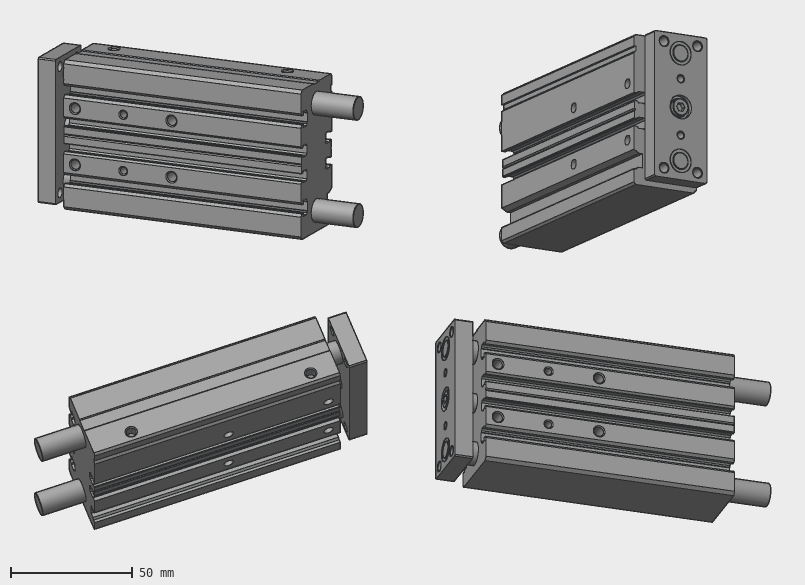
import cadquery as cq
import math


TOTAL_LENGTH = 140.0
PLATE_THICKNESS = 7.8
HOUSING_START = 12.7
HOUSING_END = 120.8
HOUSING_LENGTH = HOUSING_END - HOUSING_START

HOUSING_WIDTH = 30.0
HOUSING_HEIGHT = 64.0
FRONT_EDGE_CHAMFER = 1.4
BACK_EDGE_CHAMFER = 1.0

T_SLOT_Z = 19.0
T_SLOT_HALF_OPENING = 2.0
T_SLOT_LIP = 2.5
T_SLOT_HALF_CAVITY = 3.4
T_SLOT_LEDGE = 6.0
T_SLOT_DEPTH = 6.6
T_SLOT_EDGE_CHAMFER = 1.1
T_SLOT_CORNER_CHAMFER = 0.7

RIB_SLOT_Z = 5.5
RIB_SLOT_HALF_OPENING = 1.7
RIB_SLOT_LIP = 1.7
RIB_SLOT_UNDERCUT = 0.7
RIB_SLOT_DEPTH = 5.9
RIB_SLOT_EDGE_CHAMFER = 0.8

RIB_SETBACK = 0.4
RIB_GROOVE_HALF_HEIGHT = 0.5
RIB_GROOVE_DEPTH = 0.4
RIB_EDGE_CHAMFER = 0.3

RAIL_SLOT_TOP_Z = -17.1
RAIL_SLOT_BOTTOM_Z = -25.3
RAIL_SLOT_TOP_RAMP = 1.4
RAIL_SLOT_BOTTOM_STEP = 0.8
RAIL_SLOT_STEP_START = 1.3
RAIL_SLOT_RAMP_END = 2.5
RAIL_SLOT_DEPTH = 4.2

SIDE_GROOVE_TOP_Z = 27.0
SIDE_GROOVE_HEIGHT = 3.0
SIDE_GROOVE_DEPTH = 1.0

TOP_GROOVE_WIDTH = 5.9
TOP_GROOVE_DEPTH = 0.4

SCREW_HOLE_DIAMETER = 4.0
SCREW_HOLE_CHAMFER = 0.49
DOWEL_HOLE_DIAMETER = 3.0
DOWEL_HOLE_CHAMFER = 0.49
DOWEL_HOLE_DEPTH = 5.6
DOWEL_HOLE_Z = 12.0
PLATE_HOLE_CHAMFER = 0.3
DRILL_POINT_ANGLE = 118.0

MOUNT_HOLE_XS = (17.9, 61.9)
MOUNT_DOWEL_X = sum(MOUNT_HOLE_XS) / 2

PORT_XS = (24.0, 102.9)
PORT_Y = 10.1
PORT_DEPTH = 5.0
PORT_PASSAGE_DIAMETER = 1.7
PORT_PASSAGE_DEPTH = 8.4

PLATE_WIDTH = 25.0
PLATE_HEIGHT = 62.2
PLATE_EDGE_CHAMFER = 0.5
CORNER_HOLE_Y = 8.0
CORNER_HOLE_Z = 27.0

GUIDE_ROD_Z = 23.0
GUIDE_ROD_DIAMETER = 10.0
GUIDE_ROD_RECESS = 0.3
GUIDE_ROD_END_CHAMFER = 0.21
PISTON_ROD_DIAMETER = 8.0
PISTON_ROD_END = 42.0
ROD_TIP_DIAMETER = 7.3
ROD_TIP_CHAMFER = 0.3
PISTON_RECESS_DIAMETER = 10.1
PISTON_RECESS_DEPTH = 2.0
SOCKET_ACROSS_CORNERS = 3.9
SOCKET_DEPTH = 2.1


def cylinder(start, direction, length, diameter):
    solid = cq.Solid.makeCylinder(diameter / 2, length, cq.Vector(*start), cq.Vector(*direction))
    return cq.Workplane(obj=solid)


def rod(start_x, end_x, z, diameter):
    return cylinder((start_x, 0, z), (1, 0, 0), end_x - start_x, diameter)


def cone(start, direction, length, start_diameter, end_diameter):
    solid = cq.Solid.makeCone(
        start_diameter / 2, end_diameter / 2, length, cq.Vector(*start), cq.Vector(*direction)
    )
    return cq.Workplane(obj=solid)


def chamfered_hole(start, direction, length, diameter, chamfer):
    """Cutter for a hole that starts on a face, with a countersunk mouth."""
    mouth = cone(start, direction, chamfer, diameter + 2 * chamfer, diameter)
    return cylinder(start, direction, length, diameter).union(mouth)


def blind_hole(start, direction, depth, diameter, chamfer):
    """Cutter for a countersunk hole that ends in a drill point."""
    point_length = diameter / 2 / math.tan(math.radians(DRILL_POINT_ANGLE / 2))
    bottom = [s + depth * d for s, d in zip(start, direction)]
    point = cone(bottom, direction, point_length, diameter, 0)
    return chamfered_hole(start, direction, depth, diameter, chamfer).union(point)


def housing_prism(points):
    """Extrude a (y, z) outline over the length of the housing."""
    return cq.Workplane("YZ", origin=(HOUSING_START, 0, 0)).polyline(points).close().extrude(HOUSING_LENGTH)


def side_prism(side, points):
    """Extrude a (depth, z) outline, with the depth measured in from the side face at -Y (-1) or +Y (1)."""
    return housing_prism([(side * (HOUSING_WIDTH / 2 - depth), z) for depth, z in points])



def housing_blank():
    y = HOUSING_WIDTH / 2
    z = HOUSING_HEIGHT / 2
    front = FRONT_EDGE_CHAMFER
    back = BACK_EDGE_CHAMFER
    return housing_prism([
        (-y, -z + front), (-y + front, -z), (y - back, -z), (y, -z + back),
        (y, z - back), (y - back, z), (-y + front, z), (-y, z - front),
    ])


def t_slot(centre_z):
    """T slot with a shallow channel, as wide as its opening, along its floor."""
    lower_half = [
        (0, T_SLOT_HALF_OPENING + T_SLOT_EDGE_CHAMFER),
        (T_SLOT_EDGE_CHAMFER, T_SLOT_HALF_OPENING),
        (T_SLOT_LIP, T_SLOT_HALF_OPENING),
        (T_SLOT_LIP, T_SLOT_HALF_CAVITY),
        (T_SLOT_LEDGE - T_SLOT_CORNER_CHAMFER, T_SLOT_HALF_CAVITY),
        (T_SLOT_LEDGE, T_SLOT_HALF_CAVITY - T_SLOT_CORNER_CHAMFER),
        (T_SLOT_LEDGE, T_SLOT_HALF_OPENING),
        (T_SLOT_DEPTH, T_SLOT_HALF_OPENING),
    ]
    outline = [(depth, centre_z - half) for depth, half in lower_half]
    outline += [(depth, centre_z + half) for depth, half in reversed(lower_half)]
    return side_prism(-1, outline)


def rib_slot(side, up, edge_chamfer):
    """Slot above (up = 1) or below (up = -1) the rib; only its edge away from the rib is chamfered."""
    opening = RIB_SLOT_HALF_OPENING
    wide = opening + RIB_SLOT_UNDERCUT
    wide_start = RIB_SLOT_LIP + RIB_SLOT_UNDERCUT
    wide_end = RIB_SLOT_DEPTH - RIB_SLOT_UNDERCUT
    outline = [
        (0, -opening), (RIB_SLOT_LIP, -opening), (wide_start, -wide), (wide_end, -wide),
        (RIB_SLOT_DEPTH, -opening), (RIB_SLOT_DEPTH, opening),
        (wide_end, wide), (wide_start, wide), (RIB_SLOT_LIP, opening),
    ]
    if edge_chamfer > 0:
        outline += [(edge_chamfer, opening), (0, opening + edge_chamfer)]
    else:
        outline += [(0, opening)]
    return side_prism(side, [(depth, up * (RIB_SLOT_Z + offset)) for depth, offset in outline])


def rib_face(side):
    """Cutter that sets the rib back, chamfers its edges and grooves it."""
    edge = RIB_SLOT_Z - RIB_SLOT_HALF_OPENING
    face = edge - RIB_EDGE_CHAMFER
    groove = RIB_GROOVE_HALF_HEIGHT
    chamfer_end = RIB_SETBACK + RIB_EDGE_CHAMFER
    return side_prism(side, [
        (0, -edge), (chamfer_end, -edge), (RIB_SETBACK, -face),
        (RIB_SETBACK, -groove), (RIB_SETBACK + RIB_GROOVE_DEPTH, 0), (RIB_SETBACK, groove),
        (RIB_SETBACK, face), (chamfer_end, edge), (0, edge),
    ])


def rail_slot():
    top = RAIL_SLOT_TOP_Z
    bottom = RAIL_SLOT_BOTTOM_Z
    inner_bottom = bottom + RAIL_SLOT_BOTTOM_STEP
    return side_prism(1, [
        (0, top), (RAIL_SLOT_RAMP_END, top - RAIL_SLOT_TOP_RAMP), (RAIL_SLOT_DEPTH, top - RAIL_SLOT_TOP_RAMP),
        (RAIL_SLOT_DEPTH, inner_bottom), (RAIL_SLOT_STEP_START + RAIL_SLOT_BOTTOM_STEP, inner_bottom),
        (RAIL_SLOT_STEP_START, bottom), (0, bottom),
    ])


def side_groove():
    top = SIDE_GROOVE_TOP_Z
    bottom = top - SIDE_GROOVE_HEIGHT
    depth = SIDE_GROOVE_DEPTH
    return side_prism(1, [(0, top), (depth, top), (depth, bottom + depth), (0, bottom)])


def top_groove():
    half = TOP_GROOVE_WIDTH / 2
    floor_half = half - TOP_GROOVE_DEPTH
    top = HOUSING_HEIGHT / 2
    floor = top - TOP_GROOVE_DEPTH
    return housing_prism([(-half, top), (-floor_half, floor), (floor_half, floor), (half, top)])


def mounting_holes():
    cutters = []
    face_y = -HOUSING_WIDTH / 2
    for z in (-DOWEL_HOLE_Z, DOWEL_HOLE_Z):
        for x in MOUNT_HOLE_XS:
            cutters.append(chamfered_hole(
                (x, face_y, z), (0, 1, 0), HOUSING_WIDTH, SCREW_HOLE_DIAMETER, SCREW_HOLE_CHAMFER
            ))
        cutters.append(blind_hole(
            (MOUNT_DOWEL_X, face_y, z), (0, 1, 0), DOWEL_HOLE_DEPTH, DOWEL_HOLE_DIAMETER, DOWEL_HOLE_CHAMFER
        ))
    return cutters


def air_ports():
    cutters = []
    for x in PORT_XS:
        mouth = (x, PORT_Y, HOUSING_HEIGHT / 2)
        down = (0, 0, -1)
        cutters.append(blind_hole(mouth, down, PORT_DEPTH, SCREW_HOLE_DIAMETER, SCREW_HOLE_CHAMFER))
        cutters.append(cylinder(mouth, down, PORT_PASSAGE_DEPTH, PORT_PASSAGE_DIAMETER))
    return cutters


def make_housing():
    cutters = [rail_slot(), side_groove(), top_groove(), *mounting_holes(), *air_ports()]
    for side, edge_chamfer in ((-1, RIB_SLOT_EDGE_CHAMFER), (1, 0)):
        cutters.append(rib_face(side))
        for up in (-1, 1):
            cutters.append(rib_slot(side, up, edge_chamfer))
    for z in (-1, 1):
        cutters.append(t_slot(z * T_SLOT_Z))
        cutters.append(rod(HOUSING_START, HOUSING_END, z * GUIDE_ROD_Z, GUIDE_ROD_DIAMETER))
    cutters.append(rod(HOUSING_START, PISTON_ROD_END, 0, PISTON_ROD_DIAMETER))
    body = housing_blank()
    for cutter in cutters:
        body = body.cut(cutter)
    return body



def make_plate():
    plate = (
        cq.Workplane("XY")
        .box(PLATE_THICKNESS, PLATE_WIDTH, PLATE_HEIGHT, centered=(False, True, True))
        .edges("|X").chamfer(PLATE_EDGE_CHAMFER)
    )
    along_x = (1, 0, 0)
    for up in (-1, 1):
        for side in (-1, 1):
            plate = plate.cut(chamfered_hole(
                (0, side * CORNER_HOLE_Y, up * CORNER_HOLE_Z), along_x,
                PLATE_THICKNESS, SCREW_HOLE_DIAMETER, PLATE_HOLE_CHAMFER,
            ))
        plate = plate.cut(blind_hole(
            (0, 0, up * DOWEL_HOLE_Z), along_x, DOWEL_HOLE_DEPTH, DOWEL_HOLE_DIAMETER, PLATE_HOLE_CHAMFER
        ))
        plate = plate.cut(rod(0, PLATE_THICKNESS, up * GUIDE_ROD_Z, GUIDE_ROD_DIAMETER))
    plate = plate.cut(rod(0, PLATE_THICKNESS, 0, PISTON_ROD_DIAMETER))
    return plate.cut(rod(0, PISTON_RECESS_DEPTH, 0, PISTON_RECESS_DIAMETER))



def stepped_rod(shoulder_x, end_x, z, diameter):
    """Rod whose narrower, chamfered tip stands out of its shoulder to the front of the plate."""
    tip = rod(0, end_x, z, ROD_TIP_DIAMETER).faces("<X").chamfer(ROD_TIP_CHAMFER)
    return rod(shoulder_x, end_x, z, diameter).union(tip)


def make_guide_rod(z):
    guide_rod = stepped_rod(GUIDE_ROD_RECESS, TOTAL_LENGTH, z, GUIDE_ROD_DIAMETER)
    return guide_rod.faces(">X").chamfer(GUIDE_ROD_END_CHAMFER)


def make_piston_rod():
    piston_rod = stepped_rod(PISTON_RECESS_DEPTH, PISTON_ROD_END, 0, PISTON_ROD_DIAMETER)
    socket = cq.Workplane("YZ").polygon(6, SOCKET_ACROSS_CORNERS).extrude(SOCKET_DEPTH)
    return piston_rod.cut(socket)


housing = make_housing()
plate = make_plate()
piston_rod = make_piston_rod()
guide_rods = [make_guide_rod(side * GUIDE_ROD_Z) for side in (-1, 1)]

result = cq.Compound.makeCompound([
    housing.val(),
    plate.val(),
    piston_rod.val(),
    *[guide_rod.val() for guide_rod in guide_rods],
])